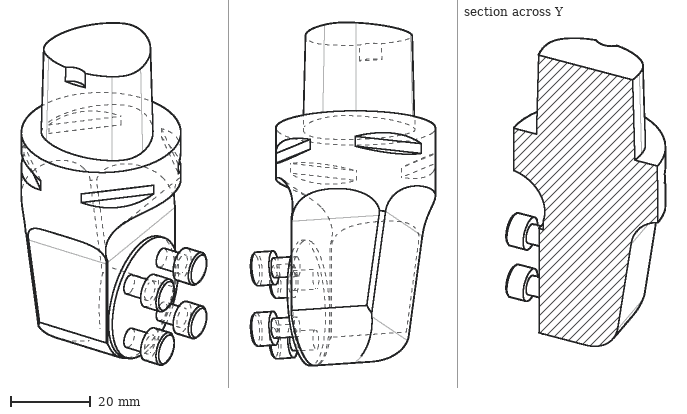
import cadquery as cq
import math


shank_length = 24.0
shank_base_diameter = 28.0
taper_per_diameter = 1 / 20
trioval_eccentricity = 1.0
lobe_angle = 90.0
points_per_sector = 12
sector_angle = 60.0

notch_radius = 4.0
notch_axis_offset = 15.0
notch_depth = 4.0

collar_radius = 20.0
groove_count = 4
groove_first_angle = 45.0
groove_floor_distance = 17.7
groove_floor_width = 2.5
groove_flank_angle = 30.0
groove_centre_z = -7.8

head_bottom_z = -59.8
front_face_x = 11.9
front_neck_x = 11.4
front_relief_radius = 10.0
front_relief_z = -22.8

back_angle = 8.0
back_face_x = -12.7
back_face_top_z = -25.4
back_relief_radius = 10.0
back_toe_radius = 9.0

side_face_y = 16.3
side_relief_radius = 8.0
side_face_top_z = -26.5
toe_radius = 18.0

back_chamfer_x = 1.25
back_chamfer_y = 1.0

pad_radius = 15.8
pad_face_x = 13.0
screw_pitch = 15.5
screw_diameter = 5.0
screw_head_diameter = 8.5
screw_head_length = 5.0
screw_head_chamfer = 0.5
screw_end_x = 24.0

shank_top_diameter = shank_base_diameter - shank_length * taper_per_diameter
pad_centre_z = head_bottom_z + pad_radius
screw_head_start_x = screw_end_x - screw_head_length
trim_half_width = 2 * collar_radius


def trioval_point(diameter, angle):
    """Point whose outward normal lies at `angle` on a three-lobed curve of constant width."""
    turn = math.radians(angle)
    phase = math.radians(3 * (angle - lobe_angle))
    support = diameter / 2 + trioval_eccentricity * math.cos(phase)
    slope = -3 * trioval_eccentricity * math.sin(phase)
    x = support * math.cos(turn) - slope * math.sin(turn)
    y = support * math.sin(turn) + slope * math.cos(turn)
    return x, y


def trioval_wire(diameter, z):
    edges = []
    for sector in range(round(360 / sector_angle)):
        sector_edge = cq.Workplane("XY", origin=(0, 0, z)).parametricCurve(
            lambda t, start=sector * sector_angle: (*trioval_point(diameter, start + t * sector_angle), 0),
            N=points_per_sector,
            makeWire=False,
        )
        edges.append(sector_edge.val())
    return cq.Wire.assembleEdges(edges)


def make_shank():
    base = trioval_wire(shank_base_diameter, 0)
    top = trioval_wire(shank_top_diameter, shank_length)
    shank = cq.Workplane(cq.Solid.makeLoft([base, top], True))
    notch = (
        cq.Workplane("XY", origin=(0, -notch_axis_offset, shank_length - notch_depth))
        .circle(notch_radius)
        .extrude(notch_depth)
    )
    return shank.cut(notch)


def front_trim():
    """Prism along Y: sloped back, vertical front, and a concave relief under the collar on each."""
    slope = math.radians(back_angle)
    front_centre_x = front_neck_x + front_relief_radius
    relief_drop = math.sqrt(front_relief_radius**2 - (front_centre_x - front_face_x) ** 2)

    back_centre_x = back_face_x - back_relief_radius * math.cos(slope)
    back_centre_z = back_face_top_z - back_relief_radius * math.sin(slope)
    back_mid = (slope + math.pi / 2) / 2
    toe_centre_z = head_bottom_z + back_toe_radius
    toe_start_z = toe_centre_z - back_toe_radius * math.sin(slope)
    toe_start_x = back_face_x + (back_face_top_z - toe_start_z) * math.tan(slope)
    toe_centre_x = toe_start_x + back_toe_radius * math.cos(slope)
    toe_mid = slope + math.radians(90 - back_angle) / 2

    return (
        cq.Workplane("XZ")
        .moveTo(back_centre_x, 0)
        .lineTo(front_centre_x, 0)
        .lineTo(front_centre_x, front_relief_z + front_relief_radius)
        .threePointArc(
            (front_neck_x, front_relief_z),
            (front_face_x, front_relief_z - relief_drop),
        )
        .lineTo(front_face_x, head_bottom_z)
        .lineTo(toe_centre_x, head_bottom_z)
        .threePointArc(
            (
                toe_centre_x - back_toe_radius * math.cos(toe_mid),
                toe_centre_z - back_toe_radius * math.sin(toe_mid),
            ),
            (toe_start_x, toe_start_z),
        )
        .lineTo(back_face_x, back_face_top_z)
        .threePointArc(
            (
                back_centre_x + back_relief_radius * math.cos(back_mid),
                back_centre_z + back_relief_radius * math.sin(back_mid),
            ),
            (back_centre_x, back_centre_z + back_relief_radius),
        )
        .close()
        .extrude(trim_half_width, both=True)
    )


def side_trim():
    """Prism along X: parallel side faces, a concave relief above each and a round lower end."""
    relief_centre_y = side_face_y + side_relief_radius
    relief_top_z = side_face_top_z + side_relief_radius
    relief_mid_offset = side_relief_radius * math.sin(math.radians(45))
    relief_mid_y = relief_centre_y - relief_mid_offset
    relief_mid_z = side_face_top_z + relief_mid_offset
    toe_corner_z = head_bottom_z + toe_radius - math.sqrt(toe_radius**2 - side_face_y**2)
    return (
        cq.Workplane("YZ")
        .moveTo(-relief_centre_y, 0)
        .lineTo(relief_centre_y, 0)
        .lineTo(relief_centre_y, relief_top_z)
        .threePointArc((relief_mid_y, relief_mid_z), (side_face_y, side_face_top_z))
        .lineTo(side_face_y, toe_corner_z)
        .threePointArc((0, head_bottom_z), (-side_face_y, toe_corner_z))
        .lineTo(-side_face_y, side_face_top_z)
        .threePointArc((-relief_mid_y, relief_mid_z), (-relief_centre_y, relief_top_z))
        .close()
        .extrude(trim_half_width, both=True)
    )


def back_chamfer_cutter(side):
    """Sloped wedge that bevels the corner between the -X face and one side face.

    The bevel plane is extended by one bevel size past both faces.
    """
    lower_z = head_bottom_z
    lower_x = back_face_x + (back_face_top_z - lower_z) * math.tan(math.radians(back_angle))

    def section(corner_x, z):
        return cq.Wire.makePolygon(
            [
                cq.Vector(corner_x + 2 * back_chamfer_x, side * (side_face_y + back_chamfer_y), z),
                cq.Vector(corner_x - back_chamfer_x, side * (side_face_y - 2 * back_chamfer_y), z),
                cq.Vector(corner_x - back_chamfer_x, side * (side_face_y + back_chamfer_y), z),
            ],
            close=True,
        )

    return cq.Solid.makeLoft([section(lower_x, lower_z), section(back_face_x, back_face_top_z)], True)


def gripper_groove():
    """Trapezoidal cutter for a straight groove across the collar, facing +X."""
    depth = trim_half_width - groove_floor_distance
    floor_half = groove_floor_width / 2
    mouth_half = floor_half + depth * math.tan(math.radians(groove_flank_angle))
    return (
        cq.Workplane("XZ")
        .polyline(
            [
                (groove_floor_distance, groove_centre_z - floor_half),
                (groove_floor_distance, groove_centre_z + floor_half),
                (trim_half_width, groove_centre_z + mouth_half),
                (trim_half_width, groove_centre_z - mouth_half),
            ]
        )
        .close()
        .extrude(collar_radius, both=True)
    )


def make_body():
    body = cq.Workplane("XY").circle(collar_radius).extrude(head_bottom_z)
    body = body.intersect(front_trim()).intersect(side_trim())
    for side in (-1, 1):
        body = body.cut(cq.Workplane(back_chamfer_cutter(side)))
    for index in range(groove_count):
        angle = groove_first_angle + index * 360 / groove_count
        body = body.cut(gripper_groove().rotate((0, 0, 0), (0, 0, 1), angle))
    return body


def make_pad():
    return (
        cq.Workplane("YZ", origin=(front_face_x, 0, pad_centre_z))
        .circle(pad_radius)
        .extrude(pad_face_x - front_face_x)
    )


def make_screws():
    stems = (
        cq.Workplane("YZ", origin=(pad_face_x, 0, pad_centre_z))
        .rarray(screw_pitch, screw_pitch, 2, 2)
        .circle(screw_diameter / 2)
        .extrude(screw_head_start_x - pad_face_x)
    )
    heads = (
        cq.Workplane("YZ", origin=(screw_head_start_x, 0, pad_centre_z))
        .rarray(screw_pitch, screw_pitch, 2, 2)
        .circle(screw_head_diameter / 2)
        .extrude(screw_head_length)
        .faces(">X")
        .edges()
        .chamfer(screw_head_chamfer)
    )
    return stems.union(heads)


result = make_body().union(make_shank()).union(make_pad()).union(make_screws())